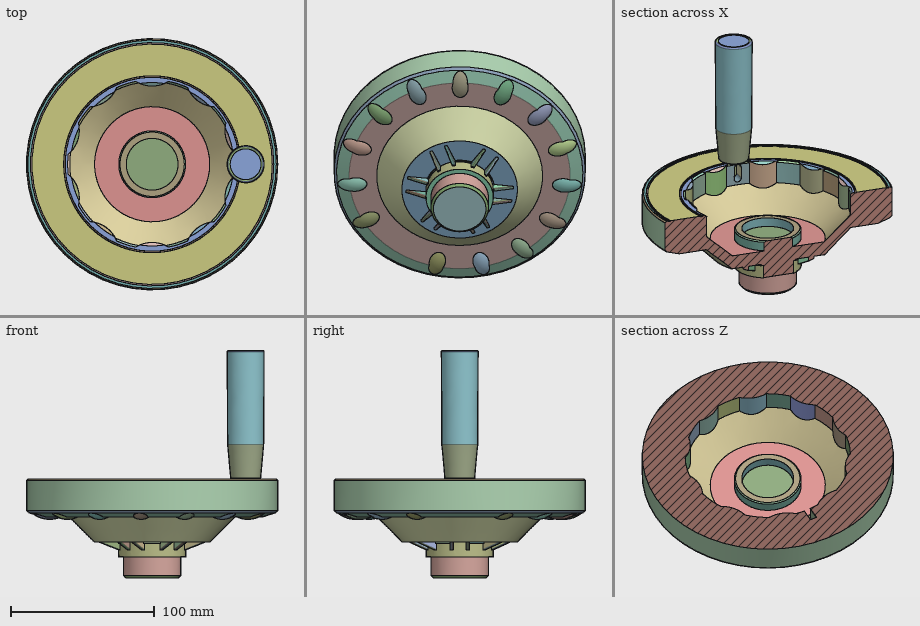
import cadquery as cq
import math

rim_radius = 87.5
rim_top = 69.0
rim_top_chamfer = 1.0
rim_side_bottom = 46.9
rim_bevel_radius = 85.8
rim_bevel_z = 45.3
rim_flat_radius = 77.0
rim_flat_z = 42.5

groove_depth = 0.5
groove_width = 1.0
outer_groove_radius = 83.6
inner_groove_radius = 60.5

lip_radius = 58.8
lip_bevel_drop = 1.0
bowl_wall_radius = 57.4
bowl_floor_radius = 40.0
bowl_floor_z = 35.2
bowl_wall_bottom = bowl_floor_z + bowl_wall_radius - bowl_floor_radius
cone_bottom_radius = 40.2
cone_bottom_z = 25.0
cone_top_radius = cone_bottom_radius + rim_flat_z - cone_bottom_z

lobe_count = 10
lobe_first_angle = 18.0
lobe_radius = 21.5
lobe_tip_radius = 54.5
lobe_bevel_start_radius = 56.9
lobe_bevel_slope = 0.7

grip_pitch_count = 15
grip_center_radius = 73.0
grip_belly_radius = 9.8
grip_arc_radius = 19.2
grip_bottom_z = 40.8
grip_half_length = 13.1

hub_diameter = 40.0
hub_radius = hub_diameter / 2
hub_chamfer = 1.8
collar_radius = 23.5
collar_bottom = 14.7
boss_radius = 23.3
boss_top = 42.5
boss_chamfer = 0.9
recess_radius = 18.0
recess_floor_z = 36.0

collar_ring_width = 0.9
collar_ring_height = 0.9

rib_pair_count = 6
rib_offset = 5.6
rib_width = 2.3
rib_edge_fillet = 0.5
rib_tip_radius = 37.1
rib_root_z = 19.6
rib_overlap = 2.3

slot_width = 5.2
slot_bottom = 54.6
slot_top = 67.7
slot_inner_radius = 52.5
slot_outer_radius = 66.5

handle_x = 65.1
handle_top = 158.4
handle_top_radius = 13.0
handle_shoulder_radius = 12.6
handle_shoulder_z = 93.0
handle_bottom_radius = 10.5
handle_fillet = 1.0
handle_recess_diameter = 21.5
handle_recess_depth = 0.4
handle_bottom_chamfer = 0.7


def turned(points):
    """Solid turned around Z from a closed outline of (radius, z) points."""
    return cq.Workplane("XZ").polyline(points).close().revolve(360, (0, 0), (0, 1))


def around_axis(shape, count, first_angle=0.0, skipped=0):
    """Copies of a shape spread evenly around Z, joined, without the first `skipped` ones."""
    joined = None
    for i in range(skipped, count):
        copy = shape.rotate((0, 0, 0), (0, 0, 1), first_angle + i * 360.0 / count)
        joined = copy if joined is None else joined.union(copy)
    return joined


def make_wheel():
    return turned([
        (0, 0),
        (hub_radius - hub_chamfer, 0),
        (hub_radius, hub_chamfer),
        (hub_radius, collar_bottom),
        (collar_radius, collar_bottom),
        (collar_radius, cone_bottom_z),
        (cone_bottom_radius, cone_bottom_z),
        (cone_top_radius, rim_flat_z),
        (rim_flat_radius, rim_flat_z),
        (rim_bevel_radius, rim_bevel_z),
        (rim_radius, rim_side_bottom),
        (rim_radius, rim_top - rim_top_chamfer),
        (rim_radius - rim_top_chamfer, rim_top),
        (lip_radius, rim_top),
        (bowl_wall_radius, rim_top - lip_bevel_drop),
        (bowl_wall_radius, bowl_wall_bottom),
        (bowl_floor_radius, bowl_floor_z),
        (boss_radius, bowl_floor_z),
        (boss_radius, boss_top - boss_chamfer),
        (boss_radius - boss_chamfer, boss_top),
        (recess_radius, boss_top),
        (recess_radius, recess_floor_z),
        (0, recess_floor_z),
    ])


def make_groove(inner_radius):
    ring = cq.Workplane("XY", origin=(0, 0, rim_top - groove_depth))
    return ring.circle(inner_radius + groove_width).circle(inner_radius).extrude(groove_depth)


def make_lobes():
    """Rounded ridges on the bowl wall, ending in the bowl's cone and bevelled at the top."""
    cylinder = (
        cq.Workplane("XY", origin=(lobe_tip_radius + lobe_radius, 0, bowl_floor_z))
        .circle(lobe_radius)
        .extrude(rim_top - bowl_floor_z)
    )
    bevel_drop = lobe_bevel_slope * (lobe_bevel_start_radius - bowl_floor_radius)
    envelope = turned([
        (bowl_floor_radius, bowl_floor_z),
        (bowl_wall_radius, bowl_wall_bottom),
        (lip_radius, bowl_wall_bottom),
        (lip_radius, rim_top),
        (lobe_bevel_start_radius, rim_top),
        (bowl_floor_radius, rim_top - bevel_drop),
    ])
    return around_axis(cylinder.intersect(envelope), lobe_count, lobe_first_angle)


def make_grips():
    sag = grip_arc_radius - math.sqrt(grip_arc_radius**2 - grip_half_length**2)
    axis_z = grip_bottom_z + grip_belly_radius
    inner_end = grip_center_radius - grip_half_length
    outer_end = grip_center_radius + grip_half_length
    barrel = (
        cq.Workplane("XZ")
        .moveTo(inner_end, axis_z)
        .lineTo(inner_end, grip_bottom_z + sag)
        .threePointArc((grip_center_radius, grip_bottom_z), (outer_end, grip_bottom_z + sag))
        .lineTo(outer_end, axis_z)
        .close()
        .revolve(360, (inner_end, axis_z), (outer_end, axis_z))
    )
    return around_axis(barrel, grip_pitch_count, skipped=1)


def make_ribs():
    outline = [
        (hub_radius, rib_root_z),
        (collar_radius, rib_root_z),
        (rib_tip_radius, cone_bottom_z),
        (rib_tip_radius, cone_bottom_z + rib_overlap),
        (hub_radius, cone_bottom_z + rib_overlap),
    ]
    rib = cq.Workplane("XZ").polyline(outline).close().extrude(rib_width / 2, both=True)
    slope_middle = ((collar_radius + rib_tip_radius) / 2, 0, (rib_root_z + cone_bottom_z) / 2)
    slope_face = rib.faces(cq.selectors.NearestToPointSelector(slope_middle))
    rib = slope_face.edges("not |Y").fillet(rib_edge_fillet)
    pair = rib.translate((0, rib_offset, 0)).union(rib.translate((0, -rib_offset, 0)))
    return around_axis(pair, rib_pair_count)


def make_collar_ring():
    """Thin ring around the top of the collar, left out between the two ribs of each pair."""
    ring = (
        cq.Workplane("XY", origin=(0, 0, cone_bottom_z - collar_ring_height))
        .circle(collar_radius + collar_ring_width)
        .circle(collar_radius - collar_ring_width)
        .extrude(collar_ring_height)
    )
    gap = cq.Workplane("XY").box(
        rib_tip_radius, 2 * rib_offset, rib_tip_radius, centered=(False, True, False)
    )
    return ring.cut(around_axis(gap, rib_pair_count))


def make_slot():
    """Upright slot with round ends, cut outwards through the bowl wall."""
    return (
        cq.Workplane("YZ", origin=(slot_inner_radius, 0, (slot_bottom + slot_top) / 2))
        .slot2D(slot_top - slot_bottom, slot_width, 90)
        .extrude(slot_outer_radius - slot_inner_radius)
    )


def make_handle():
    bottom_flat_radius = handle_bottom_radius - handle_bottom_chamfer
    grip = turned([
        (0, rim_top),
        (bottom_flat_radius, rim_top),
        (handle_bottom_radius, rim_top + handle_bottom_chamfer),
        (handle_shoulder_radius, handle_shoulder_z),
        (handle_top_radius, handle_top),
        (0, handle_top),
    ])
    grip = grip.faces(">Z").edges().fillet(handle_fillet)
    recess = (
        cq.Workplane("XY", origin=(0, 0, handle_top - handle_recess_depth))
        .circle(handle_recess_diameter / 2)
        .extrude(handle_recess_depth)
    )
    return grip.cut(recess).translate((handle_x, 0, 0))


result = make_wheel()
result = result.cut(make_groove(outer_groove_radius)).cut(make_groove(inner_groove_radius))
result = result.union(make_lobes()).union(make_grips()).union(make_ribs())
result = result.union(make_collar_ring())
result = result.cut(make_slot()).union(make_handle())